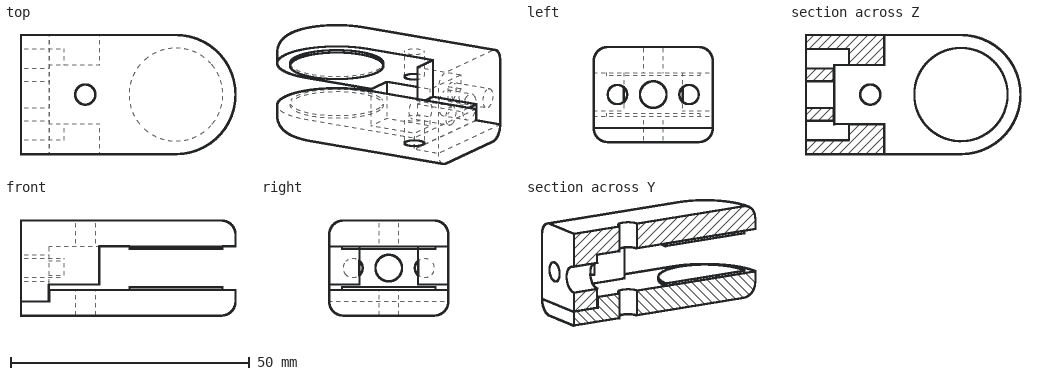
import cadquery as cq

length = 45.0
width = 25.0
height = 20.0
edge_radius = 3.0
nose_radius = width / 2
nose_x = length - nose_radius

jaw_thickness = 5.45
block_length = 16.45
heel_length = 5.85
heel_gap = 0.15
block_underside = 6.52
overcut = 0.45

pad_diameter = 19.58
pad_thickness = 0.55

screw_x = 13.5
screw_diameter = 4.2
center_bore_diameter = 5.55
side_bore_diameter = 4.05
side_bore_offset = 7.5
bore_depth = 9.0
slot_width = 12.35


def box(x_start, x_end, z_start, z_end, y_width):
    """Box centered on Y between the given X and Z limits."""
    return cq.Workplane("XY").box(
        x_end - x_start, y_width, z_end - z_start, centered=(False, True, False)
    ).translate((x_start, 0, z_start))


def rounded_envelope():
    """Outer form with its long edges and nose rims rounded, square at the -X end."""
    return (
        cq.Workplane("XY")
        .moveTo(0, -nose_radius)
        .lineTo(nose_x, -nose_radius)
        .threePointArc((length, 0), (nose_x, nose_radius))
        .lineTo(0, nose_radius)
        .close()
        .extrude(height)
        .faces("|Z")
        .edges("not <X")
        .fillet(edge_radius)
    )


def screw_hole():
    """Vertical clearance through both jaws."""
    return (
        cq.Workplane("XY")
        .center(screw_x, 0)
        .circle(screw_diameter / 2)
        .extrude(height)
    )


def lengthwise_bore(y, diameter):
    """Bore along X from the -X end into the slot, halfway up the part."""
    return (
        cq.Workplane("YZ")
        .center(y, height / 2)
        .circle(diameter / 2)
        .extrude(bore_depth)
    )


def make_housing():
    """Upper jaw, block and heel in one piece."""
    upper_jaw = box(0, length, height - jaw_thickness, height, width)
    block = box(0, block_length, block_underside, height, width)
    heel = box(0, heel_length, edge_radius, height, width)
    profile = upper_jaw.union(block).union(heel)
    slot = box(
        heel_length,
        block_length + overcut,
        block_underside - overcut,
        height - jaw_thickness,
        slot_width,
    )
    body = rounded_envelope().intersect(profile).cut(slot).cut(screw_hole())
    body = body.cut(lengthwise_bore(0, center_bore_diameter))
    for side in (-1, 1):
        body = body.cut(lengthwise_bore(side * side_bore_offset, side_bore_diameter))
    return body


def make_lower_jaw():
    """Lower jaw with a thin tail that runs under the heel."""
    tail = box(0, length, 0, edge_radius, width)
    jaw = box(heel_length + heel_gap, length, 0, jaw_thickness, width)
    return rounded_envelope().intersect(tail.union(jaw)).cut(screw_hole())


def make_pad(base_z):
    """Round pad concentric with the nose."""
    return (
        cq.Workplane("XY", origin=(nose_x, 0, base_z))
        .circle(pad_diameter / 2)
        .extrude(pad_thickness)
    )


housing = make_housing()
lower_jaw = make_lower_jaw()
pad_levels = (jaw_thickness, height - jaw_thickness - pad_thickness)
pads = [make_pad(base_z).val() for base_z in pad_levels]

result = cq.Compound.makeCompound([housing.val(), lower_jaw.val(), *pads])